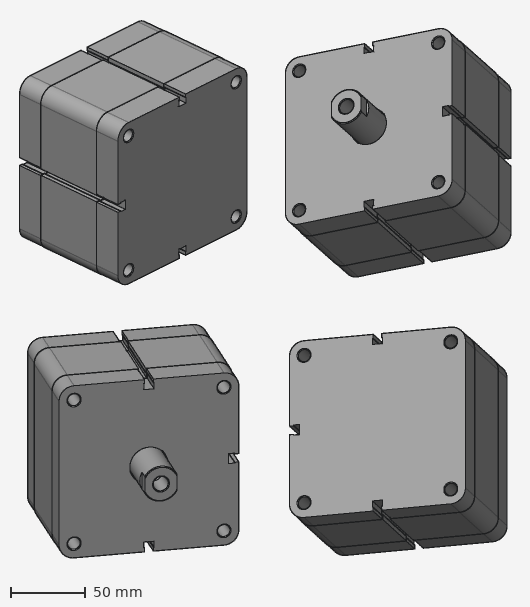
import cadquery as cq
import math


total_length = 127.0
cap_length = 20.0
rod_reach = 35.0
barrel_length = total_length - rod_reach - 2 * cap_length

cap_width = 123.5
cap_corner_radius = 10.3
bolt_hole_diameter = 8.5
bolt_hole_chamfer = 0.6
bolt_offset = cap_width / 2 - cap_corner_radius

slot_mouth_width = 6.0
slot_inner_width = 7.0
slot_step_height = 58.9
slot_floor_height = 54.6

barrel_margin = 0.3
barrel_slot_margin = 0.5

rod_diameter = 25.0
rod_clearance = 0.6
rod_tip_chamfer = 0.6
flat_length = 8.9
across_flats = 22.0
rod_hole_diameter = 10.3
rod_hole_chamfer = 0.6
rod_hole_depth = 20.0
drill_point_angle = 118.0


def slot_cutter(start, length, margin, turn):
    """T-slot along X, opening to +Z before being turned about the X axis."""
    top = cap_width / 2 + margin
    floor = slot_floor_height + margin
    step = slot_step_height - margin
    half_mouth = slot_mouth_width / 2 - margin
    half_inner = slot_inner_width / 2 - margin
    right_side = [(half_mouth, top), (half_mouth, step), (half_inner, step), (half_inner, floor)]
    left_side = [(-y, z) for y, z in reversed(right_side)]
    cutter = cq.Workplane("YZ", origin=(start, 0, 0)).polyline(right_side + left_side).close().extrude(length)
    return cutter.rotate((0, 0, 0), (1, 0, 0), turn)


def profile_block(start, length, margin=0.0, slot_margin=0.0):
    """Rounded square block with four bolt holes and T-slots on +Z, -Y and -Z."""
    width = cap_width + 2 * margin
    block = (
        cq.Workplane("YZ", origin=(start, 0, 0))
        .rect(width, width)
        .extrude(length)
        .edges("|X")
        .fillet(cap_corner_radius + margin)
    )
    bolt_holes = (
        cq.Workplane("YZ", origin=(start, 0, 0))
        .rect(2 * bolt_offset, 2 * bolt_offset, forConstruction=True)
        .vertices()
        .circle(bolt_hole_diameter / 2)
        .extrude(length)
    )
    block = block.cut(bolt_holes)
    for turn in (0, 90, 180):
        block = block.cut(slot_cutter(start, length, slot_margin, turn))
    return block


def make_end_cap(start, outer_face):
    """End cap whose bolt holes are chamfered on its outer face."""
    cap = profile_block(start, cap_length)
    hole_rims = cap.faces(outer_face).edges(cq.selectors.RadiusNthSelector(0))
    return hole_rims.chamfer(bolt_hole_chamfer)


def make_front_cap():
    """End cap with a clearance bore for the rod."""
    bore = cq.Workplane("YZ").circle(rod_diameter / 2 + rod_clearance).extrude(cap_length)
    return make_end_cap(0, "<X").cut(bore)


def make_barrel():
    """Middle section, slightly larger than the caps."""
    return profile_block(cap_length, barrel_length, barrel_margin, barrel_slot_margin)


def make_rear_cap():
    """End cap without a bore."""
    return make_end_cap(cap_length + barrel_length, ">X")


def make_piston_rod():
    """Rod from its free tip to the barrel, with wrench flats and a drilled end hole."""
    rod = (
        cq.Workplane("YZ", origin=(-rod_reach, 0, 0))
        .circle(rod_diameter / 2)
        .extrude(rod_reach + cap_length)
        .faces("<X")
        .chamfer(rod_tip_chamfer)
    )

    flat_cut_depth = rod_diameter - across_flats
    for side in (-1, 1):
        flat_cut = cq.Workplane("XY").box(flat_length, flat_cut_depth, rod_diameter).translate(
            (-rod_reach + flat_length / 2, side * (across_flats + flat_cut_depth) / 2, 0)
        )
        rod = rod.cut(flat_cut)

    hole_radius = rod_hole_diameter / 2
    cone_height = hole_radius / math.tan(math.radians(drill_point_angle / 2))
    hole_bottom = -rod_reach + rod_hole_depth
    hole = (
        cq.Workplane("XY")
        .moveTo(-rod_reach, 0)
        .lineTo(-rod_reach, hole_radius + rod_hole_chamfer)
        .lineTo(-rod_reach + rod_hole_chamfer, hole_radius)
        .lineTo(hole_bottom, hole_radius)
        .lineTo(hole_bottom + cone_height, 0)
        .close()
        .revolve(360, (0, 0, 0), (1, 0, 0))
    )
    return rod.cut(hole)


front_cap = make_front_cap()
barrel = make_barrel()
rear_cap = make_rear_cap()
piston_rod = make_piston_rod()

result = cq.Compound.makeCompound(
    [front_cap.solids().val(), barrel.solids().val(), rear_cap.solids().val(), piston_rod.solids().val()]
)